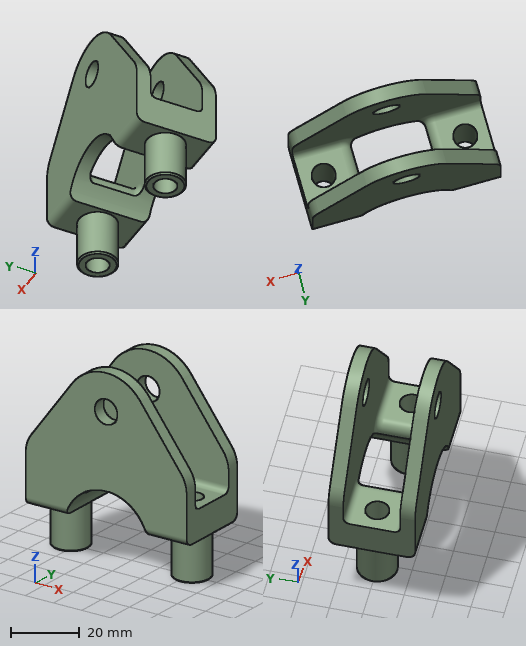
import cadquery as cq
import math

width = 57.0
depth = 26.0
height = 63.2
cheek_thickness = 4.5
pin_length = 15.0
floor_thickness = 10.0
crown_radius = 15.0
shoulder_radius = 10.0
shoulder_start = 31.65
pivot_height = 50.95
pivot_diameter = 8.0
arch_radius = 15.0
arch_center_height = 11.0
channel_fillet = 2.0
bottom_fillet = 2.5
opening_length = 22.5
floor_end_radius = 3.05
pin_diameter = 12.1
pin_chamfer = 0.5
pin_bore_diameter = 7.0
pin_spacing = 42.85

selection_margin = 0.65
floor_height = pin_length + floor_thickness
channel_width = depth - 2 * cheek_thickness


def arc_point(center_x, center_z, radius, angle):
    return (center_x + radius * math.cos(angle), center_z + radius * math.sin(angle))


def mirrored(point):
    return (-point[0], point[1])


def cylinder_along_y(radius, center_height):
    return (
        cq.Workplane("XZ")
        .center(0, center_height)
        .circle(radius)
        .extrude(depth, both=True)
    )


def make_body():
    """Solid block with the cheek outline and rounded lower edges."""
    shoulder_x = width / 2 - shoulder_radius
    crown_z = height - crown_radius
    center_distance = math.hypot(shoulder_x, crown_z - shoulder_start)
    center_angle = math.atan2(shoulder_start - crown_z, shoulder_x)
    flank_normal = center_angle + math.acos((crown_radius - shoulder_radius) / center_distance)
    shoulder_mid = arc_point(shoulder_x, shoulder_start, shoulder_radius, flank_normal / 2)
    shoulder_end = arc_point(shoulder_x, shoulder_start, shoulder_radius, flank_normal)
    crown_start = arc_point(0, crown_z, crown_radius, flank_normal)
    outline = (
        cq.Workplane("XZ")
        .moveTo(-width / 2, pin_length)
        .lineTo(width / 2, pin_length)
        .lineTo(width / 2, shoulder_start)
        .threePointArc(shoulder_mid, shoulder_end)
        .lineTo(*crown_start)
        .threePointArc((0, height), mirrored(crown_start))
        .lineTo(*mirrored(shoulder_end))
        .threePointArc(mirrored(shoulder_mid), (-width / 2, shoulder_start))
        .close()
    )
    body = outline.extrude(depth / 2, both=True)
    return body.faces("<Z").edges("|X").fillet(bottom_fillet)


def make_channel():
    """Space between the cheeks, dropping through the floor in the middle."""
    above_floor = cq.Workplane("XY").box(
        2 * width, channel_width, height, centered=(True, True, False)
    ).translate((0, 0, floor_height))
    opening = cq.Workplane("XY").box(
        opening_length, channel_width, floor_height, centered=(True, True, False)
    )
    channel = above_floor.union(opening)
    floor_end_edges = cq.selectors.BoxSelector(
        (-opening_length, -depth, floor_height - selection_margin),
        (opening_length, depth, floor_height + selection_margin),
    )
    channel = channel.edges("|Y").edges(floor_end_edges).fillet(floor_end_radius)
    floor_and_opening = cq.selectors.BoxSelector(
        (-2 * width, -depth, selection_margin),
        (2 * width, depth, floor_height + selection_margin),
    )
    return channel.edges(floor_and_opening).edges("not(|Y)").fillet(channel_fillet)


def add_pins(body):
    """Hollow locating pins, bored through the floor."""
    for side in (-1, 1):
        x = side * pin_spacing / 2
        pin = (
            cq.Workplane("XY")
            .center(x, 0)
            .circle(pin_diameter / 2)
            .extrude(pin_length)
            .faces("<Z")
            .chamfer(pin_chamfer)
        )
        bore = cq.Workplane("XY").center(x, 0).circle(pin_bore_diameter / 2).extrude(height)
        body = body.union(pin).cut(bore)
    return body


bracket = make_body().cut(make_channel())
bracket = bracket.cut(cylinder_along_y(arch_radius, arch_center_height))
bracket = bracket.cut(cylinder_along_y(pivot_diameter / 2, pivot_height))
result = add_pins(bracket)